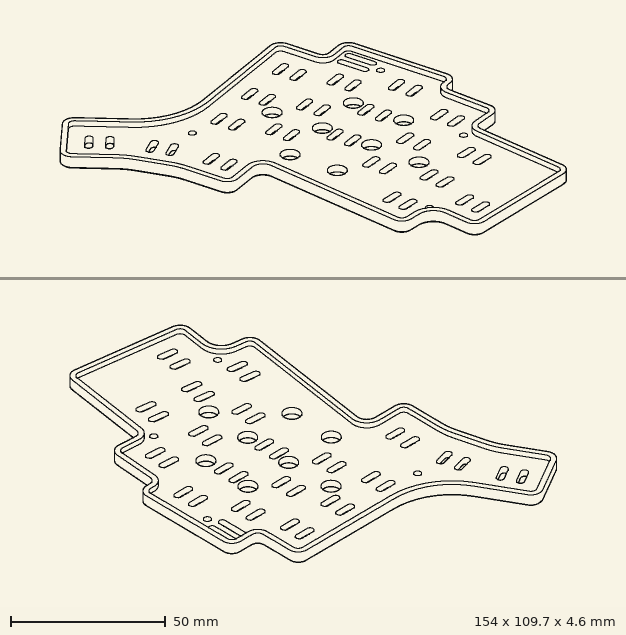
import cadquery as cq
import math

thickness = 4.6
pocket_depth = 2.0
rim_width = 2.0
bottom_chamfer = 0.6

key_pitch = 18.5
key_to_edge = 12.3
finger_tilt = 4.0
little_tilt = 8.0
thumb_tilt = 15.0
outer_key_right = 19.0
outer_key_drop = 4.5
outer_thumb_left = 20.3
outer_thumb_drop = 2.8

outer_radius = 4.0
step_radius = 2.5
notch_radius = 4.0
little_notch_radius = 5.9
thumb_blend_radius = 22.3
palm_blend_radius = 26.2

slot_width = 2.6
slot_length = 7.5
slot_spacing = 6.8
slot_rise = 0.5
cable_slot_width = 2.5
cable_slot_length = 11.5
cable_slot_x = 58.2
cable_slot_ys = (100.4, 105.0)
standoff_diameter = 6.5
standoff_places = [
    (70.8, 80.7), (90.4, 80.4), (51.9, 61.6), (70.8, 62.0),
    (89.9, 61.7), (108.7, 60.8), (71.0, 42.5), (89.1, 42.3),
]
screw_diameter = 2.6
screw_places = [(67.3, 102.7), (111.8, 82.8), (126.9, 38.6), (37.1, 36.8)]


def along(key, right, up):
    """Point at a distance to the right of and above a key centre, in the key's tilted axes."""
    x, y, tilt = key
    c = math.cos(math.radians(tilt))
    s = math.sin(math.radians(tilt))
    return (x + right * c - up * s, y + right * s + up * c)


def column(middle_key):
    """Lower, middle and upper key of one column."""
    tilt = middle_key[2]
    return [along(middle_key, 0, row * key_pitch) + (tilt,) for row in (-1, 0, 1)]


first_column = column((43.0, 67.0, 0))
second_column = column((first_column[1][0] + key_pitch, 71.0, 0))
third_column = column((second_column[1][0] + key_pitch, 78.8, 0))
fourth_column = column((100.2, 70.4, -finger_tilt))
fifth_column = column((119.0, 55.0, -little_tilt))
outer_key = along(fifth_column[1], outer_key_right, -outer_key_drop) + (-little_tilt,)
inner_thumb = (54.4, 26.0, 0)
middle_thumb = (34.0, 23.2, thumb_tilt)
outer_thumb = along(middle_thumb, -outer_thumb_left, -outer_thumb_drop) + (2 * thumb_tilt,)
keys = first_column + second_column + third_column + fourth_column + fifth_column
keys += [outer_key, inner_thumb, middle_thumb, outer_thumb]

outline_sides = [
    (first_column[2], "left", outer_radius),
    (first_column[2], "top", step_radius),
    (second_column[2], "left", outer_radius),
    (third_column[2], "top", outer_radius),
    (third_column[2], "right", step_radius),
    (fourth_column[2], "top", outer_radius),
    (fourth_column[2], "right", step_radius),
    (fifth_column[2], "top", outer_radius),
    (outer_key, "right", outer_radius),
    (outer_key, "bottom", little_notch_radius),
    (fifth_column[0], "right", outer_radius),
    (fifth_column[0], "bottom", notch_radius),
    (inner_thumb, "right", outer_radius),
    (inner_thumb, "bottom", thumb_blend_radius),
    (middle_thumb, "bottom", thumb_blend_radius),
    (outer_thumb, "bottom", outer_radius),
    (outer_thumb, "left", outer_radius),
    (outer_thumb, "top", palm_blend_radius),
]
clockwise_heading = {"top": 0, "right": -90, "bottom": 180, "left": 90}


def side_line(key, side):
    """Midpoint and clockwise direction of the outline line beside a key."""
    heading = math.radians(key[2] + clockwise_heading[side])
    direction = cq.Vector(math.cos(heading), math.sin(heading))
    outward = cq.Vector(-direction.y, direction.x)
    return cq.Vector(key[0], key[1]) + outward * key_to_edge, direction


def corner_arc(line, next_line, radius):
    """Start, middle and end of the arc that rounds the corner between two lines."""
    (point, direction), (next_point, next_direction) = line, next_line
    turn = direction.cross(next_direction).z
    corner = point + direction * ((next_point - point).cross(next_direction).z / turn)
    half_turn = direction.getAngle(next_direction) / 2
    tangent_length = radius * math.tan(half_turn)
    middle_distance = radius / math.cos(half_turn) - radius
    inward = (next_direction - direction).normalized()
    return (
        corner - direction * tangent_length,
        corner + inward * middle_distance,
        corner + next_direction * tangent_length,
    )


def plate_outline():
    lines = [side_line(key, side) for key, side, _ in outline_sides]
    radii = [radius for _, _, radius in outline_sides]
    arcs = [
        corner_arc(line, next_line, radius)
        for line, next_line, radius in zip(lines, lines[1:] + lines[:1], radii)
    ]
    outline = cq.Workplane("XY").moveTo(*arcs[-1][2].toTuple()[:2])
    for start, middle, end in arcs:
        outline = outline.lineTo(start.x, start.y).threePointArc((middle.x, middle.y), (end.x, end.y))
    return outline.close()


def tray():
    """Rimmed plate: chamfered underneath and pocketed from the top."""
    plate = plate_outline().extrude(thickness).faces("<Z").chamfer(bottom_chamfer)
    pocket = plate_outline().offset2D(-rim_width).extrude(pocket_depth)
    return plate.cut(pocket.translate((0, 0, thickness - pocket_depth)))


def key_slots(key):
    """Pair of upright slots through the plate, tilted with their key."""
    slots = cq.Workplane("XY").pushPoints([(-slot_spacing / 2, slot_rise), (slot_spacing / 2, slot_rise)])
    slots = slots.slot2D(slot_length, slot_width, 90).extrude(thickness)
    x, y, tilt = key
    return slots.rotate((0, 0, 0), (0, 0, 1), tilt).translate((x, y, 0))


def cable_slots():
    places = [(cable_slot_x, y) for y in cable_slot_ys]
    slots = cq.Workplane("XY").pushPoints(places).slot2D(cable_slot_length, cable_slot_width)
    return slots.extrude(thickness)


def round_holes(places, diameter):
    return cq.Workplane("XY").pushPoints(places).circle(diameter / 2).extrude(thickness)


result = tray()
for key in keys:
    result = result.cut(key_slots(key))
result = result.cut(cable_slots())
result = result.cut(round_holes(standoff_places, standoff_diameter))
result = result.cut(round_holes(screw_places, screw_diameter))